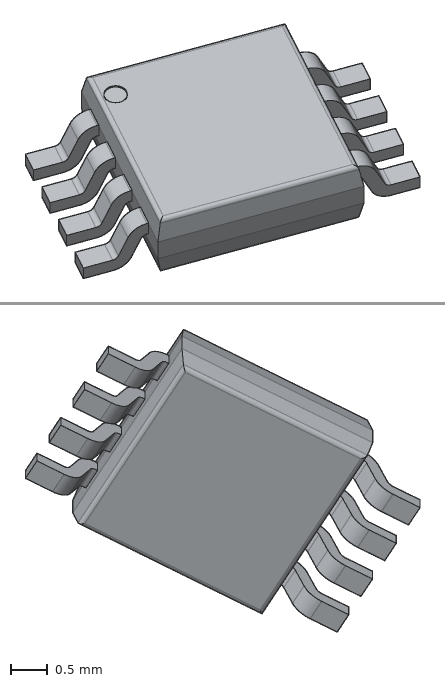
import cadquery as cq
import math

span = 4.9
overall_height = 1.1

package_side = 3.0
standoff = 0.05
band_height = 0.335
draft_angle = 10.0
rim_radius = 0.07
package_height = overall_height - standoff
cap_height = (package_height - band_height) / 2
band_bottom = standoff + cap_height
band_top = band_bottom + band_height

leads_per_side = 4
lead_pitch = 0.65
lead_width = 0.32
lead_thickness = 0.21
lead_top = 0.755
stub_length = 0.025
slope_angle = 66.0
inner_bend_radius = 0.095
bend_radius = inner_bend_radius + lead_thickness / 2

mark_diameter = 0.32
mark_depth = 0.025
mark_edge_distance = 0.305

first_lead_x = -(leads_per_side - 1) * lead_pitch / 2


def make_cap(base_z, direction):
    """Tapered part of the package, rising (+1) or falling (-1) from the band."""
    plane = cq.Plane(origin=(0, 0, base_z), xDir=(1, 0, 0), normal=(0, 0, direction))
    return (
        cq.Workplane(plane)
        .rect(package_side, package_side)
        .extrude(cap_height, taper=draft_angle)
    )


def make_package():
    """Package: middle band, two tapered caps with rounded rims, and the pin 1 mark."""
    band = (
        cq.Workplane("XY", origin=(0, 0, band_bottom))
        .rect(package_side, package_side)
        .extrude(band_height)
    )
    package = band.union(make_cap(band_top, 1)).union(make_cap(band_bottom, -1))
    package = package.faces(">Z or <Z").edges().fillet(rim_radius)
    mark = (
        cq.Workplane("XY", origin=(first_lead_x, mark_edge_distance - package_side / 2, overall_height))
        .circle(mark_diameter / 2)
        .extrude(-mark_depth)
    )
    return package.cut(mark)


def make_lead(x):
    """Gull-wing lead on the +Y side: a rectangular strip swept along its mid-thickness line."""
    slope = math.radians(slope_angle)
    stub_z = lead_top - lead_thickness / 2
    foot_z = lead_thickness / 2
    bend_run = bend_radius * math.sin(slope)
    bend_drop = bend_radius * (1 - math.cos(slope))
    slope_drop = stub_z - foot_z - 2 * bend_drop
    slope_run = slope_drop / math.tan(slope)

    start_y = package_side / 2
    upper_bend_y = start_y + stub_length
    slope_start = (upper_bend_y + bend_run, stub_z - bend_drop)
    slope_end = (slope_start[0] + slope_run, slope_start[1] - slope_drop)
    foot_start = (slope_end[0] + bend_run, foot_z)

    path = (
        cq.Workplane("YZ", origin=(x, 0, 0))
        .moveTo(start_y, stub_z)
        .lineTo(upper_bend_y, stub_z)
        .tangentArcPoint(slope_start, relative=False)
        .lineTo(*slope_end)
        .tangentArcPoint(foot_start, relative=False)
        .lineTo(span / 2, foot_z)
    )
    return (
        cq.Workplane("XZ", origin=(x, start_y, stub_z))
        .rect(lead_width, lead_thickness)
        .sweep(path)
    )


def make_leads():
    """One lead per position on the +Y side, each with its half-turn copy on the -Y side."""
    leads = []
    for index in range(leads_per_side):
        lead = make_lead(first_lead_x + index * lead_pitch)
        leads.append(lead.val())
        leads.append(lead.rotate((0, 0, 0), (0, 0, 1), 180).val())
    return leads


package = make_package()
leads = make_leads()

result = cq.Compound.makeCompound([package.val(), *leads])